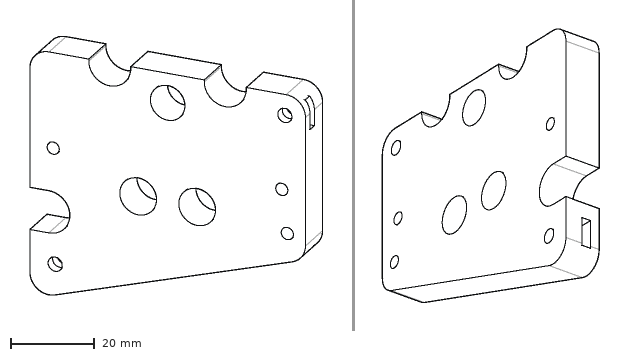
import cadquery as cq
import math

LENGTH = 72.0
THICKNESS = 10.0
HEIGHT = 63.2
CORNER_RADIUS = 5.05
RIGHT_CORNER_Z = 24.8

NOTCH_RADIUS = 5.5
TOP_NOTCH_XS = (20.9, 51.05)
TOP_NOTCH_CENTER_DEPTH = 0.5
LEFT_NOTCH_Z = 21.6
LEFT_NOTCH_CENTER_DEPTH = 5.0

UPPER_BORE_DIAMETER = 9.0
UPPER_BORE = (LENGTH / 2, 55.5)
BORE_DIAMETER = 9.6
BORE_OFFSET = 7.7
BORE_Z = 29.8
LOWER_BORES = [(LENGTH / 2 + side * BORE_OFFSET, BORE_Z) for side in (-1, 1)]
PIN_DIAMETER = 3.2
PIN_HOLES = [(6.1, 38.4), (65.8, 38.4), (67.25, 27.15)]
BOLT_DIAMETER = 3.7
LEFT_BOLT = (6.6, 8.3)
RIGHT_BOLT = (66.6, 57.75)

NUT_WIDTH = 7.5
NUT_SLOT_THICKNESS = 2.5
NUT_SLOT_BACK_Y = 0.15


def extrude_through(sketch):
    return sketch.extrude(THICKNESS / 2, both=True)


def make_plate():
    slope = (RIGHT_CORNER_Z - CORNER_RADIUS) / (LENGTH - 2 * CORNER_RADIUS)
    drop = CORNER_RADIUS * math.hypot(1, slope)
    left_z = CORNER_RADIUS - drop - CORNER_RADIUS * slope
    right_z = left_z + LENGTH * slope
    corners = [(0, left_z), (LENGTH, right_z), (LENGTH, HEIGHT), (0, HEIGHT)]
    plate = extrude_through(cq.Workplane("XZ").polyline(corners).close())
    return plate.edges("|Y").fillet(CORNER_RADIUS)


def make_holes(centers, diameter):
    return extrude_through(cq.Workplane("XZ").pushPoints(centers).circle(diameter / 2))


def make_top_notch(x):
    center_z = HEIGHT - TOP_NOTCH_CENTER_DEPTH
    sketch = (
        cq.Workplane("XZ")
        .moveTo(x - NOTCH_RADIUS, HEIGHT)
        .lineTo(x - NOTCH_RADIUS, center_z)
        .threePointArc((x, center_z - NOTCH_RADIUS), (x + NOTCH_RADIUS, center_z))
        .lineTo(x + NOTCH_RADIUS, HEIGHT)
        .close()
    )
    return extrude_through(sketch)


def make_left_notch():
    bottom_z = LEFT_NOTCH_Z - NOTCH_RADIUS
    top_z = LEFT_NOTCH_Z + NOTCH_RADIUS
    tip = (LEFT_NOTCH_CENTER_DEPTH + NOTCH_RADIUS, LEFT_NOTCH_Z)
    sketch = (
        cq.Workplane("XZ")
        .moveTo(0, bottom_z)
        .lineTo(LEFT_NOTCH_CENTER_DEPTH, bottom_z)
        .threePointArc(tip, (LEFT_NOTCH_CENTER_DEPTH, top_z))
        .lineTo(0, top_z)
        .close()
    )
    return extrude_through(sketch)


def make_nut_slot(bolt, edge_x):
    """Flat slot from a side edge to half a nut width beyond the bolt axis."""
    bolt_x, bolt_z = bolt
    end_x = bolt_x + math.copysign(NUT_WIDTH / 2, bolt_x - edge_x)
    center = ((edge_x + end_x) / 2, NUT_SLOT_BACK_Y - NUT_SLOT_THICKNESS / 2, bolt_z)
    return cq.Workplane("XY").box(abs(end_x - edge_x), NUT_SLOT_THICKNESS, NUT_WIDTH).translate(center)


result = make_plate()
for notch_x in TOP_NOTCH_XS:
    result = result.cut(make_top_notch(notch_x))
result = result.cut(make_left_notch())
result = result.cut(make_holes([UPPER_BORE], UPPER_BORE_DIAMETER))
result = result.cut(make_holes(LOWER_BORES, BORE_DIAMETER))
result = result.cut(make_holes(PIN_HOLES, PIN_DIAMETER))
result = result.cut(make_holes([LEFT_BOLT, RIGHT_BOLT], BOLT_DIAMETER))
result = result.cut(make_nut_slot(LEFT_BOLT, 0))
result = result.cut(make_nut_slot(RIGHT_BOLT, LENGTH))